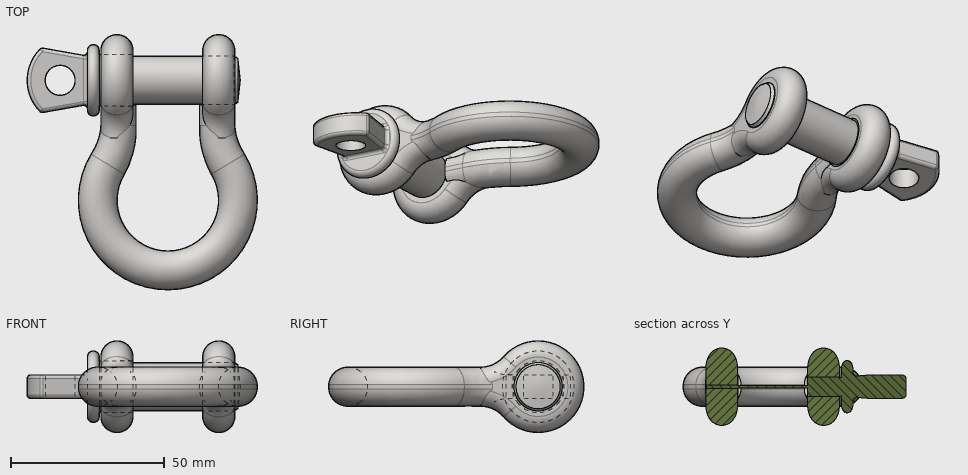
import cadquery as cq
import math


BAR_WIDTH = 12.7
BAR_HALF_HEIGHT = 6.4
FLAT_HALF_HEIGHT = 0.73
BOW_RADIUS = 22.81
BOW_CENTER_Y = -39.05
SHOULDER_ANGLE = 31.0

LEG_WIDTH = 11.53
LEG_X = 16.06
EAR_X = 16.57
EAR_RADIUS = 14.935
EAR_WIDTH = 10.52
EAR_ROUND = EAR_WIDTH / 2
EAR_RIM_RADIUS = EAR_RADIUS - EAR_ROUND

PIN_RADIUS = 7.88
NECK_RADIUS = 8.45
PIN_TIP_X = 23.6
PIN_CONE_X = 22.8
PIN_CHAMFER_DEPTH = 0.7
PIN_CHAMFER_LENGTH = 1.2
COLLAR_LEFT_X = -26.2
COLLAR_WIDTH = 3.9
COLLAR_RIGHT_X = COLLAR_LEFT_X + COLLAR_WIDTH
COLLAR_RADIUS = 11.65

TAB_THICKNESS = 7.75
TAB_END_X = -45.83
TAB_CORNER_X = -41.2
TAB_CORNER_Y = 10.6
TAB_ROOT_HALF_WIDTH = 7.95
TAB_EYE_X = -35.06
TAB_EYE_RADIUS = 4.84
TAB_ROUND = 1.2

shoulder = math.radians(SHOULDER_ANGLE)
BEND_RADIUS = (BOW_RADIUS * math.cos(shoulder) - LEG_X) / (1 - math.cos(shoulder))
BEND_CENTER_X = LEG_X + BEND_RADIUS
BEND_CENTER_Y = BOW_CENTER_Y + (BOW_RADIUS + BEND_RADIUS) * math.sin(shoulder)

EAR_FILLET_RADIUS = 9.9
EAR_FILLET_Z = BAR_HALF_HEIGHT + EAR_FILLET_RADIUS
EAR_FILLET_Y = -math.sqrt((EAR_RADIUS + EAR_FILLET_RADIUS) ** 2 - EAR_FILLET_Z ** 2)
EAR_FILLET_SWEEP = math.degrees(math.atan2(-EAR_FILLET_Y, EAR_FILLET_Z))


def bar_section(plane, width):
    """Bar cross-section: two arched halves joined by the narrow side flats."""
    half = width / 2
    return (
        cq.Workplane(plane)
        .moveTo(half, -FLAT_HALF_HEIGHT)
        .lineTo(half, FLAT_HALF_HEIGHT)
        .threePointArc((0, BAR_HALF_HEIGHT), (-half, FLAT_HALF_HEIGHT))
        .lineTo(-half, -FLAT_HALF_HEIGHT)
        .threePointArc((0, -BAR_HALF_HEIGHT), (half, -FLAT_HALF_HEIGHT))
        .close()
    )


def make_bow_round():
    start = cq.Plane(
        origin=(BOW_RADIUS * math.cos(shoulder), BOW_CENTER_Y + BOW_RADIUS * math.sin(shoulder), 0),
        xDir=(math.cos(shoulder), math.sin(shoulder), 0),
        normal=(math.sin(shoulder), -math.cos(shoulder), 0),
    )
    sweep_angle = 180 + 2 * SHOULDER_ANGLE
    return bar_section(start, BAR_WIDTH).revolve(sweep_angle, (-BOW_RADIUS, 0, 0), (-BOW_RADIUS, -1, 0))


def make_shoulder():
    """Right shoulder bend, narrowing smoothly from the bow bar to the leg."""
    steps = 6
    wires = []
    for step in range(steps + 1):
        share = step / steps
        angle = shoulder * (1 - share)
        plane = cq.Plane(
            origin=(
                BEND_CENTER_X - BEND_RADIUS * math.cos(angle),
                BEND_CENTER_Y - BEND_RADIUS * math.sin(angle),
                0,
            ),
            xDir=(math.cos(angle), math.sin(angle), 0),
            normal=(math.sin(angle), -math.cos(angle), 0),
        )
        width = BAR_WIDTH + (LEG_WIDTH - BAR_WIDTH) * share
        wires.append(bar_section(plane, width).wires().val())
    return cq.Workplane(cq.Solid.makeLoft(wires))


def make_leg():
    """Right straight leg, running up to the edge of the pin hole."""
    plane = cq.Plane(origin=(LEG_X, BEND_CENTER_Y, 0), xDir=(1, 0, 0), normal=(0, -1, 0))
    return bar_section(plane, LEG_WIDTH).extrude(BEND_CENTER_Y + PIN_RADIUS)


def make_ear():
    """Right ear: a disc about the pin axis with a fully rounded rim."""
    return (
        cq.Workplane("XY")
        .moveTo(EAR_X - EAR_ROUND, 0)
        .lineTo(EAR_X - EAR_ROUND, EAR_RIM_RADIUS)
        .threePointArc((EAR_X, EAR_RADIUS), (EAR_X + EAR_ROUND, EAR_RIM_RADIUS))
        .lineTo(EAR_X + EAR_ROUND, 0)
        .close()
        .revolve(360, (0, 0, 0), (1, 0, 0))
    )


def make_ear_fillet():
    """Upper neck of the right ear: the rim profile carried around the ear fillet arc."""
    plane = cq.Plane(origin=(EAR_X, EAR_FILLET_Y, EAR_FILLET_Z), xDir=(1, 0, 0), normal=(0, -1, 0))
    crown = -EAR_FILLET_RADIUS
    rim_depth = crown - EAR_ROUND
    profile_depth = crown - EAR_RADIUS
    swept = (
        cq.Workplane(plane)
        .moveTo(-EAR_ROUND, profile_depth)
        .lineTo(-EAR_ROUND, rim_depth)
        .threePointArc((0, crown), (EAR_ROUND, rim_depth))
        .lineTo(EAR_ROUND, profile_depth)
        .close()
        .revolve(EAR_FILLET_SWEEP, (0, 0, 0), (1, 0, 0))
    )
    upper_half = cq.Workplane("XY").box(
        4 * EAR_WIDTH, 4 * EAR_RADIUS, 2 * EAR_RADIUS, centered=(True, True, False)
    )
    return swept.intersect(upper_half.translate((EAR_X, 0, 0)))


def x_cylinder(radius, start_x, end_x):
    return cq.Workplane("YZ", origin=(start_x, 0, 0)).circle(radius).extrude(end_x - start_x)


def make_shackle():
    neck_top = make_ear_fillet()
    side = make_ear().union(neck_top).union(neck_top.mirror("XY")).union(make_leg()).union(make_shoulder())
    body = make_bow_round().union(side).union(side.mirror("YZ"))
    ear_reach = EAR_X + EAR_WIDTH
    body = body.cut(x_cylinder(NECK_RADIUS, -ear_reach, 0))
    return body.cut(x_cylinder(PIN_RADIUS, 0, ear_reach))


def make_shank():
    """Turned parts of the pin: collar with round rim, neck, shank and coned tip."""
    rim = COLLAR_RADIUS - COLLAR_WIDTH / 2
    neck_end_x = -EAR_X + EAR_ROUND
    return (
        cq.Workplane("XY")
        .moveTo(COLLAR_LEFT_X, 0)
        .lineTo(COLLAR_LEFT_X, rim)
        .threePointArc((COLLAR_LEFT_X + COLLAR_WIDTH / 2, COLLAR_RADIUS), (COLLAR_RIGHT_X, rim))
        .lineTo(COLLAR_RIGHT_X, NECK_RADIUS)
        .lineTo(neck_end_x, NECK_RADIUS)
        .lineTo(neck_end_x, PIN_RADIUS)
        .lineTo(PIN_CONE_X - PIN_CHAMFER_LENGTH, PIN_RADIUS)
        .lineTo(PIN_CONE_X, PIN_RADIUS - PIN_CHAMFER_DEPTH)
        .lineTo(PIN_TIP_X, 0)
        .close()
        .revolve(360, (0, 0, 0), (1, 0, 0))
    )


def make_tab():
    """Flared flat tab with an arched end, rounded edges and an eye."""
    root_x = COLLAR_LEFT_X
    tab = (
        cq.Workplane("XY", origin=(0, 0, -TAB_THICKNESS / 2))
        .moveTo(root_x, -TAB_ROOT_HALF_WIDTH)
        .lineTo(root_x, TAB_ROOT_HALF_WIDTH)
        .lineTo(TAB_CORNER_X, TAB_CORNER_Y)
        .threePointArc((TAB_END_X, 0), (TAB_CORNER_X, -TAB_CORNER_Y))
        .close()
        .extrude(TAB_THICKNESS)
    )
    tab = tab.edges("|Z and (not >X)").fillet(TAB_ROUND)
    return tab.faces("<Z or >Z").edges("not >X").fillet(TAB_ROUND)


def make_pin():
    pin = make_shank().union(make_tab())
    root_reach = COLLAR_RADIUS - COLLAR_WIDTH / 2
    tolerance = 0.01
    root = cq.selectors.BoxSelector(
        (COLLAR_LEFT_X - tolerance, -root_reach, -TAB_THICKNESS),
        (COLLAR_LEFT_X + tolerance, root_reach, TAB_THICKNESS),
        boundingbox=True,
    )
    pin = pin.edges(root).fillet(TAB_ROUND)
    eye = (
        cq.Workplane("XY", origin=(TAB_EYE_X, 0, -TAB_THICKNESS))
        .circle(TAB_EYE_RADIUS)
        .extrude(2 * TAB_THICKNESS)
    )
    return pin.cut(eye)


shackle = make_shackle()
pin = make_pin()
result = cq.Compound.makeCompound([*shackle.solids().vals(), *pin.solids().vals()])